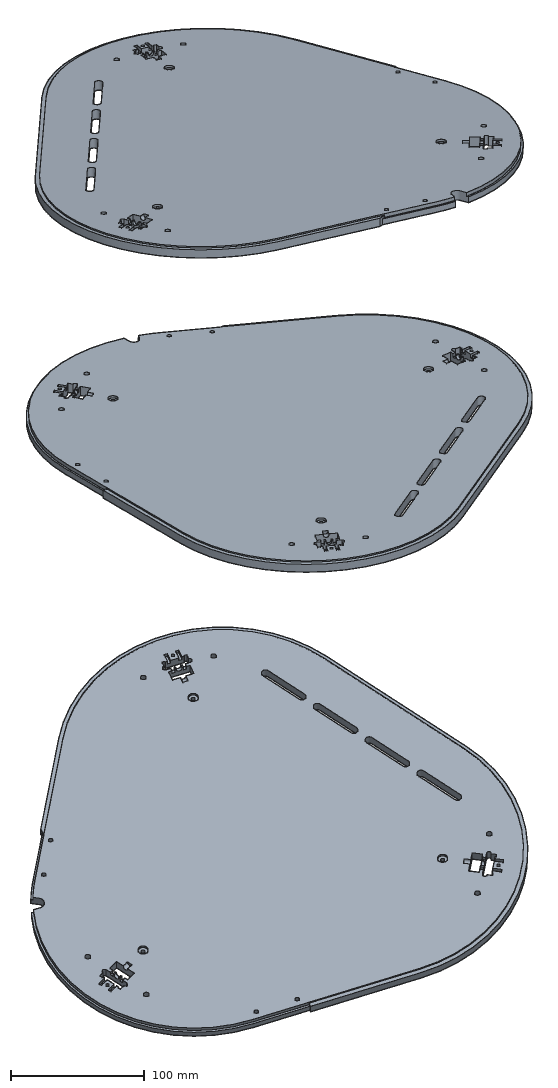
import cadquery as cq
import math

length = 380.2
depth = 364.0
thickness = 8.0
trim_inset = 1.6
full_length = length + trim_inset

corner_distance = (full_length - depth) / (math.sqrt(3) - 1.5)
corner_radius = (depth - 1.5 * corner_distance) / 2
edge_distance = corner_distance / 2 + corner_radius

lower_corner = -90
right_corner = 30
left_corner = 150
corners = (lower_corner, right_corner, left_corner)
slotted_edge = 210
rear_edge = 90
right_edge = -30

ledge_inset = 3.25
ledge_height = 7.0
trim_ledge_height = 5.0
trim_start_x = 21.5
trim_end_x = 150.0

slot_count = 4
slot_pitch = 49.8
slot_length = 41.0
slot_width = 6.0
slot_distance = 121.0

edge_hole_diameter = 3.25
edge_hole_positions = (29.0, 61.5)
edge_hole_inset = 9.0
mount_hole_diameter = 4.0
mount_hole_spacing = 56.3
mount_hole_distance = 169.0
screw_distance = 138.5
screw_hole_diameter = 3.0
screw_recess_diameter = 7.5
screw_recess_depth = 2.0

inner_window_width = 17.0
inner_window_start = 159.3
inner_window_end = 167.3
outer_window_width = 19.8
outer_window_start = 170.0
outer_window_end = 176.8
relief_width = 2.3
relief_end = 177.5
ear_diameter = 3.25
ear_distance = 172.0
ear_spacing = 20.0
groove_width = 4.0
groove_axis_depth = 0.8
groove_start = 154.5
channel_width = 2.47
channel_spacing = 9.0
channel_depth = 3.0
channel_end = 183.5
pin_diameter = 2.47
pin_distance = 180.5

notch_radius = 4.5
notch_x = 177.0
notch_y = 0.0
notch_reach = 23.0
notch_lower_angle = right_edge


def outline(inset, height, base=0.0):
    """Solid of the rounded triangle, with its outer edge moved in by inset."""
    centres = []
    for angle in corners:
        direction = math.radians(angle)
        centres.append((corner_distance * math.cos(direction), corner_distance * math.sin(direction)))
    flat = cq.Workplane("XY").workplane(offset=base).polyline(centres).close()
    return flat.offset2D(corner_radius - inset).extrude(height)


def turned(shape, angle):
    """Turn a shape laid out along +X so that it points in the given direction."""
    return shape.rotate((0, 0, 0), (0, 0, 1), angle)


def block(start, end, width, offset=0.0, bottom=0.0):
    """Box from start to end along +X, centred at offset across it, up to the top face."""
    box = cq.Workplane("XY").box(end - start, width, thickness - bottom, centered=(False, True, False))
    return box.translate((start, offset, bottom))


def pin(distance, offset, diameter, bottom=0.0):
    """Upright cylinder up to the top face."""
    disc = cq.Workplane("XY").workplane(offset=bottom).center(distance, offset).circle(diameter / 2)
    return disc.extrude(thickness - bottom)


def rim_trim():
    """Material removed from the rim around the right corner."""
    outside = length
    sector = (
        cq.Workplane("XY")
        .moveTo(trim_start_x, 0)
        .lineTo(trim_start_x, outside)
        .lineTo(outside, outside)
        .lineTo(outside, -outside)
        .lineTo(trim_end_x, -outside)
        .lineTo(trim_end_x, 0)
        .close()
        .extrude(thickness)
    )
    kept = outline(trim_inset, trim_ledge_height)
    kept = kept.union(outline(ledge_inset, thickness - trim_ledge_height, trim_ledge_height))
    return sector.cut(kept)


def notch():
    """Round-bottomed cut whose sides spread apart towards the rim."""
    upper = cq.Workplane("XY").box(notch_reach, 2 * notch_radius, thickness, centered=(False, True, False))
    lower = turned(upper, notch_lower_angle)
    tip = cq.Workplane("XY").circle(notch_radius).extrude(thickness)
    return tip.union(upper).union(lower).translate((notch_x, notch_y, 0))


def corner_openings():
    """Everything cut into the plate at one corner, laid out along +X."""
    cut = block(inner_window_start, inner_window_end, inner_window_width)
    cut = cut.union(block(outer_window_start, outer_window_end, outer_window_width))
    groove_axis = thickness - groove_axis_depth
    groove = block(groove_start, outer_window_start, groove_width, 0, groove_axis)
    groove_floor = (
        cq.Workplane("YZ")
        .workplane(offset=groove_start)
        .center(0, groove_axis)
        .circle(groove_width / 2)
        .extrude(outer_window_start - groove_start)
    )
    cut = cut.union(groove).union(groove_floor)
    cut = cut.union(pin(pin_distance, 0, pin_diameter))
    cut = cut.union(pin(screw_distance, 0, screw_hole_diameter))
    cut = cut.union(pin(screw_distance, 0, screw_recess_diameter, thickness - screw_recess_depth))
    for side in (-1, 1):
        relief_offset = side * (outer_window_width - relief_width) / 2
        cut = cut.union(block(outer_window_start, relief_end, relief_width, relief_offset))
        cut = cut.union(pin(ear_distance, side * ear_spacing / 2, ear_diameter))
        channel_offset = side * channel_spacing / 2
        channel_floor = thickness - channel_depth
        cut = cut.union(block(inner_window_end, channel_end, channel_width, channel_offset, channel_floor))
        cut = cut.union(pin(mount_hole_distance, side * mount_hole_spacing / 2, mount_hole_diameter))
    return cut


def slots():
    """Row of long slots along the slotted edge."""
    row = (
        cq.Workplane("XY")
        .center(slot_distance, 0)
        .rarray(3.8, slot_pitch, 1, slot_count)
        .slot2D(slot_length, slot_width, 90)
        .extrude(thickness)
    )
    return turned(row, slotted_edge)


def edge_holes():
    """Two holes along each edge beside the right corner, mirrored about the corner."""
    holes = cq.Workplane("XY")
    for position in edge_hole_positions:
        for edge, side in ((rear_edge, -1), (right_edge, 1)):
            hole = pin(edge_distance - edge_hole_inset, side * position, edge_hole_diameter)
            holes = holes.union(turned(hole, edge))
    return holes


result = outline(0, ledge_height)
result = result.union(outline(ledge_inset, thickness - ledge_height, ledge_height))
result = result.cut(rim_trim()).cut(notch()).cut(slots()).cut(edge_holes())
for angle in corners:
    result = result.cut(turned(corner_openings(), angle))